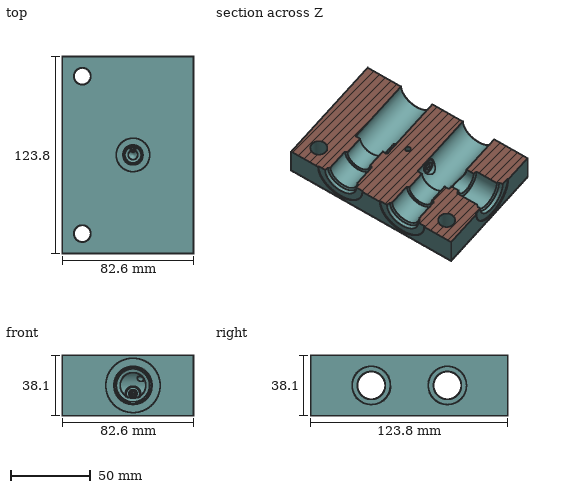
import cadquery as cq
import math

length_x, length_y, height = 82.6, 123.8, 38.1

inlet_passage_radius = 8.7
main_bore_radius = 12.0
main_bore_start_x = -7.4
main_bore_y = 23.9
port_x = 3.2
front_passage_radius = 8.0

mount_hole_radius = 5.2
mount_hole_x = -28.6
mount_hole_y = 49.4

seal_cone_angle = 12.0
shoulder_cone_angle = 77.0
seal_depth = 2.5

large_spot_radius = 17.1
large_spot_depth = 0.6
large_mouth_radius = 12.0
large_thread_radius = 10.4
large_thread_depth = 19.8

gauge_spot_radius = 10.5
gauge_spot_depth = 1.0
gauge_mouth_radius = 6.3
gauge_thread_radius = 5.1
gauge_thread_depth = 11.1

gauge_drill_radius = 3.0
gauge_drill_depth = 14.9
drill_point_angle = 59.0

cross_drill_radius = 1.6
cross_drill_angle = 34.0
cross_drill_x = 7.9
cross_drill_z = 4.2

pilot_radius = 1.6
pilot_y = 3.3

cartridge_tilt = 10.0
cartridge_radius = 4.8
cartridge_length = 24.8
cartridge_face_y = -12.8
cartridge_face_z = -5.2
seat_runout = 6.2
rim_width = 0.6
rim_angle = 30.0
inlet_radius = 2.0
inlet_depth = 4.7
inlet_mouth_radius = 2.6
inlet_mouth_angle = 30.0
orifice_radius = 0.9
side_hole_y = 3.7


def tan_deg(angle):
    return math.tan(math.radians(angle))


def revolved(profile):
    """Revolve an outline of (radius, depth) points about the Z axis."""
    return cq.Workplane("XZ").polyline(profile).close().revolve(360, (0, 0), (0, 1))


def port_cutter(spot_radius, spot_depth, mouth_radius, thread_radius, thread_depth, passage_radius):
    seal_end = spot_depth + seal_depth
    seal_end_radius = mouth_radius - seal_depth * tan_deg(seal_cone_angle)
    lead_end = seal_end + seal_end_radius - thread_radius
    cone_end = thread_depth + (thread_radius - passage_radius) / tan_deg(shoulder_cone_angle)
    return revolved([
        (0, 0),
        (spot_radius, 0),
        (spot_radius, spot_depth),
        (mouth_radius, spot_depth),
        (seal_end_radius, seal_end),
        (thread_radius, lead_end),
        (thread_radius, thread_depth),
        (passage_radius, cone_end),
        (0, cone_end),
    ])


def large_port(passage_radius):
    return port_cutter(large_spot_radius, large_spot_depth, large_mouth_radius,
                       large_thread_radius, large_thread_depth, passage_radius)


def gauge_port():
    """Gauge port together with the pointed drilling below it."""
    port = port_cutter(gauge_spot_radius, gauge_spot_depth, gauge_mouth_radius,
                       gauge_thread_radius, gauge_thread_depth, gauge_drill_radius)
    tip = gauge_drill_depth + gauge_drill_radius / tan_deg(drill_point_angle)
    drilling = revolved([(0, 0), (gauge_drill_radius, 0), (gauge_drill_radius, gauge_drill_depth), (0, tip)])
    return port.union(drilling)


def side_passage(y):
    """Port on the -X face, its passage, and the wider main bore that runs out through +X."""
    port = large_port(inlet_passage_radius).rotate((0, 0, 0), (0, 1, 0), 90)
    port = port.translate((-length_x / 2, y, 0))
    passage = cq.Workplane("YZ", origin=(0, y, 0)).circle(inlet_passage_radius)
    bore = cq.Workplane("YZ", origin=(main_bore_start_x, y, 0)).circle(main_bore_radius)
    bore = bore.extrude(length_x / 2 - main_bore_start_x)
    return port.union(passage.extrude(-length_x / 2 + large_thread_depth)).union(bore)


def front_port():
    """Front port and the passage from it into the front main bore."""
    port = large_port(front_passage_radius)
    passage = cq.Workplane("XY").circle(front_passage_radius).extrude(length_y / 2 - main_bore_y)
    cutter = port.union(passage).rotate((0, 0, 0), (1, 0, 0), -90)
    return cutter.translate((port_x, -length_y / 2, 0))


def cross_drill():
    """Level oblique drilling between the two main bores."""
    exit_y = -main_bore_y + math.sqrt(main_bore_radius ** 2 - cross_drill_z ** 2)

    def axis_point(y):
        return cq.Vector(cross_drill_x + (y - exit_y) * tan_deg(cross_drill_angle), y, cross_drill_z)

    begin = axis_point(exit_y - main_bore_radius / 2)
    axis = axis_point(main_bore_y) - begin
    return cq.Workplane(cq.Solid.makeCylinder(cross_drill_radius, axis.Length, begin, axis))


def cartridge_axis_z(y):
    return cartridge_face_z - (y - cartridge_face_y) * tan_deg(cartridge_tilt)


def along_cartridge(shape):
    """Move a shape built along +Z from the origin onto the sloping cartridge axis."""
    tilted = shape.rotate((0, 0, 0), (1, 0, 0), -(90 + cartridge_tilt))
    return tilted.translate((port_x, cartridge_face_y, cartridge_face_z))


def pilot_hole():
    """Vertical hole from the cone of the gauge port to the cartridge axis."""
    bottom = cartridge_axis_z(pilot_y)
    top = height / 2 - gauge_thread_depth
    return cq.Workplane("XY", origin=(port_x, pilot_y, bottom)).circle(pilot_radius).extrude(top - bottom)


def cartridge_hole():
    """Seat of the cartridge, open into both main bores."""
    clearance = main_bore_radius
    hole = cq.Workplane("XY").workplane(offset=-clearance).circle(cartridge_radius)
    return along_cartridge(hole.extrude(clearance + cartridge_length + seat_runout))


def make_block():
    block = cq.Workplane("XY").box(length_x, length_y, height)
    for side in (-1, 1):
        block = block.cut(side_passage(side * main_bore_y))
    block = block.cut(front_port())
    gauge = gauge_port().rotate((0, 0, 0), (1, 0, 0), 180)
    block = block.cut(gauge.translate((port_x, 0, height / 2)))
    for cutter in (cross_drill(), pilot_hole(), cartridge_hole()):
        block = block.cut(cutter)
    mount_points = [(mount_hole_x, -mount_hole_y), (mount_hole_x, mount_hole_y)]
    mounts = cq.Workplane("XY").pushPoints(mount_points).circle(mount_hole_radius)
    return block.cut(mounts.extrude(height / 2, both=True))


def make_cartridge():
    """Bevelled plug with a stepped bore through it and a side hole below the pilot hole."""
    rim_depth = rim_width * tan_deg(rim_angle)
    mouth_depth = (inlet_mouth_radius - inlet_radius) / tan_deg(inlet_mouth_angle)
    body = along_cartridge(revolved([
        (inlet_mouth_radius, 0),
        (cartridge_radius - rim_width, 0),
        (cartridge_radius, rim_depth),
        (cartridge_radius, cartridge_length),
        (orifice_radius, cartridge_length),
        (orifice_radius, inlet_depth),
        (inlet_radius, inlet_depth),
        (inlet_radius, mouth_depth),
    ]))
    side_hole = cq.Workplane("XY", origin=(port_x, side_hole_y, cartridge_axis_z(side_hole_y)))
    return body.cut(side_hole.circle(orifice_radius).extrude(2 * cartridge_radius))


block = make_block().solids()
cartridge = make_cartridge().solids()
result = cq.Compound.makeCompound([block.val(), cartridge.val()])